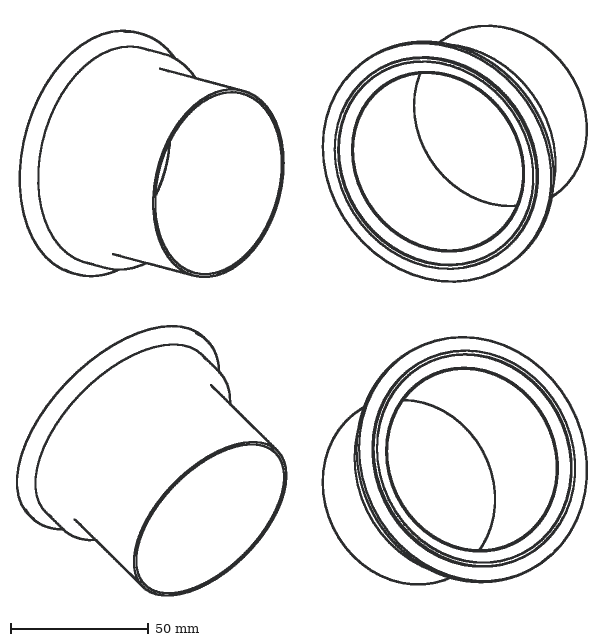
import cadquery as cq

total_length = 58.0
flange_radius = 45.5
lip_radius = 40.2
collar_radius = 40.5
tube_radius = 34.9
bore_radius = 33.85

lip_length = 1.2
flange_cone_x = 3.6
cone_foot_x = 5.1
collar_end_x = 17.3
rim_round = 0.55
collar_round = 0.9
tube_round = 0.7

recess_mouth_radius = 38.9
recess_wall_depth = 0.7
recess_middle_radius = 36.7
recess_middle_depth = 2.6
recess_inner_radius = 34.3
recess_inner_depth = 2.2

AXIS_START = (0, 0, 0)
AXIS_END = (1, 0, 0)
MATCH_TOLERANCE = 0.01


def is_corner(edge, x, radius):
    """Tell whether an edge is the circular corner at the given place and radius."""
    return (
        edge.geomType() == "CIRCLE"
        and abs(edge.Center().x - x) < MATCH_TOLERANCE
        and abs(edge.radius() - radius) < MATCH_TOLERANCE
    )


def outer_body():
    """Revolve the solid outline of lip, tapered flange, collar and tube."""
    return (
        cq.Workplane("XY")
        .polyline([
            (0, 0),
            (0, lip_radius),
            (lip_length, lip_radius),
            (lip_length, flange_radius),
            (flange_cone_x, flange_radius),
            (cone_foot_x, collar_radius),
            (collar_end_x, collar_radius),
            (collar_end_x, tube_radius),
            (total_length, tube_radius),
            (total_length, 0),
        ])
        .close()
        .revolve(360, AXIS_START, AXIS_END)
    )


def inner_void():
    """Revolve the bore together with the gasket recess at its mouth."""
    return (
        cq.Workplane("XY")
        .moveTo(0, 0)
        .lineTo(0, recess_mouth_radius)
        .lineTo(recess_wall_depth, recess_mouth_radius)
        .threePointArc(
            (recess_middle_depth, recess_middle_radius),
            (recess_inner_depth, recess_inner_radius),
        )
        .lineTo(recess_inner_depth, bore_radius)
        .lineTo(total_length, bore_radius)
        .lineTo(total_length, 0)
        .close()
        .revolve(360, AXIS_START, AXIS_END)
    )


body = outer_body()
rounded_corners = [
    (flange_cone_x, flange_radius, rim_round),
    (cone_foot_x, collar_radius, collar_round),
    (collar_end_x, collar_radius, collar_round),
    (collar_end_x, tube_radius, tube_round),
]
for corner_x, corner_radius, round_radius in rounded_corners:
    corner = body.edges().filter(lambda edge: is_corner(edge, corner_x, corner_radius))
    body = corner.fillet(round_radius)

result = body.cut(inner_void())